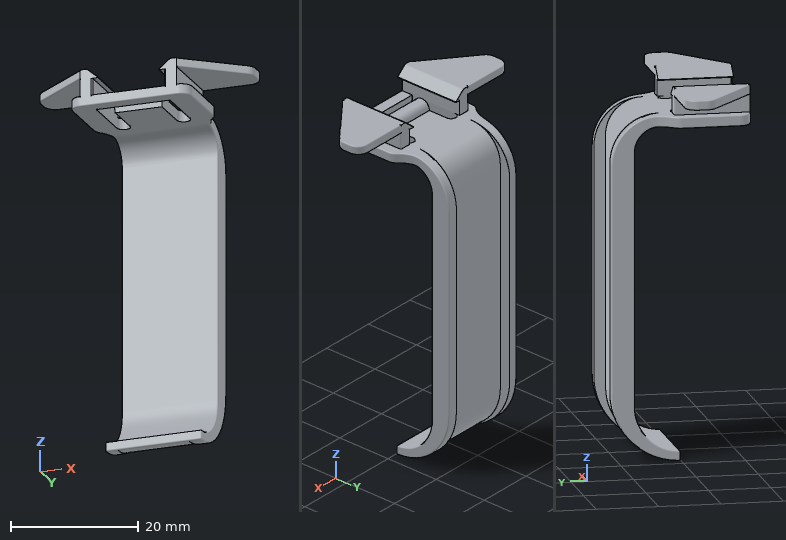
import cadquery as cq
import math

overall_height = 60.1
overall_depth = 22.2
overall_width = 36.2
edge_round = 0.25

sheet = 1.8
plate_top = 55.7
flange_width = 20.2
flange_corner = 2.0
flange_straight_end = 11.25
shoulder_end = 16.15
shoulder_round = 1.8
strap_width = 16.2
strap_depth = 3.65
upper_bend_y = 14.4
tip_thickness = 1.6
tip_y = 11.2

recess_half_width = 6.05
recess_draft = 2.5

front_bar = 2.3
slot_half_width = 6.0
slot_end = 12.15
slot_draft = 5.0
tongue_half_width = 4.1
tongue_end = 4.4
bump_radius = 1.55

clip_depth = 12.15
lip_reach = 5.1
lip_bottom = 58.4
lip_nose = 0.1
lip_slope_top = 7.0
lip_top_round = 0.85

wing_thickness = 1.55
wing_corner = 2.0
wing_tip_y = 7.95

plate_bottom = plate_top - sheet
strap_half = strap_width / 2
flange_half = flange_width / 2
wing_half = overall_width / 2
strap_inner_y = overall_depth - strap_depth
upper_outer_radius = overall_depth - upper_bend_y
upper_inner_radius = strap_inner_y - upper_bend_y
lower_outer_radius = overall_depth - tip_y
lower_inner_radius = strap_inner_y - tip_y
mid_height = overall_height / 2
diagonal = math.sqrt(0.5)


def prism_x(profile, half_width):
    """Extrude a YZ profile symmetrically about X = 0."""
    return profile.extrude(half_width, both=True)


def bend_point(center_y, center_z, radius, z_sign):
    """Middle point of a quarter bend on the +Y side of its center."""
    return (center_y + radius * diagonal, center_z + z_sign * radius * diagonal)


def hook_profile():
    """Side outline of plate, strap and hook, as deep as the rails."""
    upper_outer_z = plate_top - upper_outer_radius
    upper_inner_z = plate_bottom - upper_inner_radius
    lower_inner_z = tip_thickness + lower_inner_radius
    return (
        cq.Workplane("YZ")
        .moveTo(0, plate_bottom)
        .lineTo(0, plate_top)
        .lineTo(upper_bend_y, plate_top)
        .threePointArc(bend_point(upper_bend_y, upper_outer_z, upper_outer_radius, 1),
                       (overall_depth, upper_outer_z))
        .lineTo(overall_depth, lower_outer_radius)
        .threePointArc(bend_point(tip_y, lower_outer_radius, lower_outer_radius, -1), (tip_y, 0))
        .lineTo(tip_y, tip_thickness)
        .threePointArc(bend_point(tip_y, lower_inner_z, lower_inner_radius, -1),
                       (strap_inner_y, lower_inner_z))
        .lineTo(strap_inner_y, upper_inner_z)
        .threePointArc(bend_point(upper_bend_y, upper_inner_z, upper_inner_radius, 1),
                       (upper_bend_y, plate_bottom))
        .close()
    )


def half_plan():
    """Plan outline of the +X half: flange, S-shaped shoulder, strap."""
    step = flange_half - strap_half
    length = shoulder_end - flange_straight_end
    turn = 2 * math.atan2(step, length)
    joint = (flange_half - shoulder_round * (1 - math.cos(turn)),
             flange_straight_end + shoulder_round * math.sin(turn))
    corner_inset = flange_corner * (1 - diagonal)
    return (
        cq.Workplane("XY", origin=(0, 0, mid_height))
        .moveTo(0, 0)
        .lineTo(flange_half - flange_corner, 0)
        .threePointArc((flange_half - corner_inset, corner_inset), (flange_half, flange_corner))
        .lineTo(flange_half, flange_straight_end)
        .tangentArcPoint(joint, relative=False)
        .tangentArcPoint((strap_half, shoulder_end), relative=False)
        .lineTo(strap_half, overall_depth)
        .lineTo(0, overall_depth)
        .close()
        .extrude(mid_height)
    )


def is_exposed(edge):
    """True for the long side edges and for the edges of the front and the tip."""
    center = edge.Center()
    along_z = edge.geomType() == "LINE" and abs(edge.tangentAt(0.5).z) > 0.99
    if along_z and center.z > plate_bottom:
        return False
    at_side = abs(center.x) > strap_half - 0.05
    at_front = center.y < 0.005
    at_tip = abs(center.y - tip_y) < 0.005 and center.z < tip_thickness + 0.005
    return at_side or at_front or at_tip


def hook_body():
    upper = half_plan()
    upper = upper.union(upper.mirror("YZ"))
    lower = cq.Workplane("XY").box(strap_width, overall_depth, mid_height, centered=(True, False, False))
    body = prism_x(hook_profile(), flange_half).intersect(upper.union(lower)).clean()
    exposed = [edge for edge in body.edges().vals() if is_exposed(edge)]
    return body.newObject(exposed).fillet(edge_round)


def recess():
    """Channel behind the web; it fades out at the upper bend and at the tip."""
    web_y = strap_inner_y + sheet
    upper_radius = web_y - upper_bend_y
    lower_radius = web_y - tip_y
    upper_z = plate_top - upper_radius
    outside_y = overall_depth + sheet
    behind_web = prism_x(
        cq.Workplane("YZ")
        .moveTo(upper_bend_y, plate_top)
        .threePointArc(bend_point(upper_bend_y, upper_z, upper_radius, 1), (web_y, upper_z))
        .lineTo(web_y, lower_radius)
        .threePointArc(bend_point(tip_y, lower_radius, lower_radius, -1), (tip_y, 0))
        .lineTo(tip_y, -sheet)
        .lineTo(outside_y, -sheet)
        .lineTo(outside_y, overall_height)
        .lineTo(upper_bend_y, overall_height)
        .close(),
        strap_half,
    )
    slope = math.tan(math.radians(recess_draft))
    narrow = recess_half_width + slope * (tip_y - upper_bend_y)
    wide = recess_half_width + slope * (outside_y - upper_bend_y)
    drafted = (
        cq.Workplane("XY", origin=(0, 0, -sheet))
        .polyline([(-narrow, tip_y), (narrow, tip_y), (wide, outside_y), (-wide, outside_y)])
        .close()
        .extrude(overall_height + 2 * sheet)
    )
    return behind_web.intersect(drafted)


def slot():
    """U-shaped opening around the tongue, widening downward, with full-round leg ends."""
    leg_round = (slot_half_width - tongue_half_width) / 2
    leg_center = tongue_half_width + leg_round
    arc_y = slot_end - leg_round
    return (
        cq.Workplane("XY", origin=(0, 0, plate_top))
        .moveTo(-slot_half_width, front_bar)
        .lineTo(slot_half_width, front_bar)
        .lineTo(slot_half_width, arc_y)
        .threePointArc((leg_center, slot_end), (tongue_half_width, arc_y))
        .lineTo(tongue_half_width, tongue_end)
        .lineTo(-tongue_half_width, tongue_end)
        .lineTo(-tongue_half_width, arc_y)
        .threePointArc((-leg_center, slot_end), (-slot_half_width, arc_y))
        .close()
        .extrude(-sheet, taper=-slot_draft)
    )


def tongue_bump():
    """Half-round catch across the free end of the tongue."""
    center_y = tongue_end + bump_radius
    return prism_x(
        cq.Workplane("YZ")
        .moveTo(tongue_end, plate_top)
        .threePointArc((center_y, plate_top + bump_radius), (center_y + bump_radius, plate_top))
        .close(),
        tongue_half_width,
    )


def wall():
    """Upright wall on the +X side with its inward snap lip."""
    foot = plate_bottom + sheet / 2
    body = (
        cq.Workplane("XZ")
        .moveTo(strap_half, foot)
        .lineTo(strap_half, overall_height)
        .lineTo(lip_slope_top, overall_height)
        .lineTo(lip_reach, lip_bottom + lip_nose)
        .lineTo(lip_reach, lip_bottom)
        .lineTo(slot_half_width, lip_bottom)
        .lineTo(slot_half_width, foot)
        .close()
        .extrude(-clip_depth)
    )
    lip_edge = cq.selectors.NearestToPointSelector((lip_slope_top, clip_depth / 2, overall_height))
    outer_back_edge = cq.selectors.NearestToPointSelector((strap_half, clip_depth, overall_height - sheet))
    inner_front_edge = cq.selectors.NearestToPointSelector((slot_half_width, 0, (foot + lip_bottom) / 2))
    return (
        body.edges(lip_edge).fillet(lip_top_round)
        .edges(outer_back_edge).fillet(edge_round)
        .edges(inner_front_edge).chamfer(edge_round)
    )


def wing():
    """Flat finger wing on the +X side, joined to the top of the wall."""
    root = lip_slope_top + lip_top_round
    plate = (
        cq.Workplane("XY", origin=(0, 0, overall_height - wing_thickness))
        .polyline([(root, 0), (strap_half, 0), (wing_half, wing_tip_y), (wing_half, clip_depth),
                   (root, clip_depth)])
        .close()
        .extrude(wing_thickness)
        .edges("|Z and >X").fillet(wing_corner)
    )
    return plate.edges("#Z").edges(cq.selectors.BoxSelector(
        (strap_half, -0.6, 0), (wing_half + 0.6, clip_depth + 0.6, overall_height + 0.6))).fillet(edge_round)


clip_half = wall().union(wing())
result = (
    hook_body()
    .cut(recess())
    .union(clip_half)
    .union(clip_half.mirror("YZ"))
    .cut(slot())
    .union(tongue_bump())
)